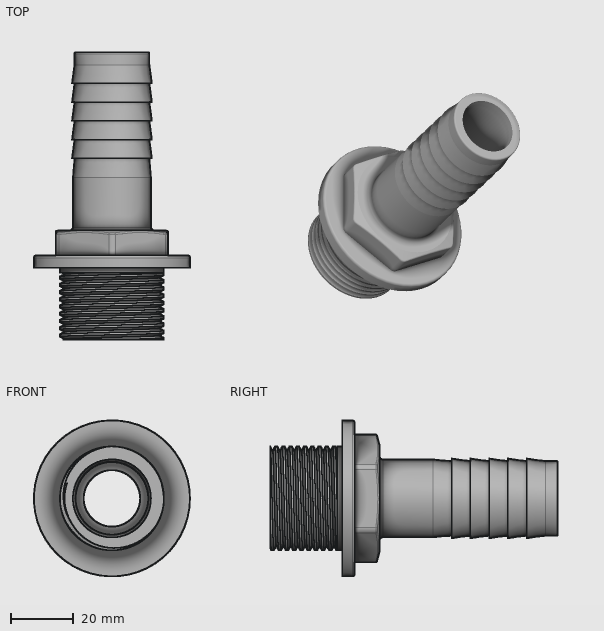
import cadquery as cq
import math

TOTAL_LENGTH = 92.0

THREAD_OUTER_DIAMETER = 33.249
THREAD_PITCH = 2.309
THREAD_DEPTH = 1.479
THREAD_ANGLE = 55.0
THREAD_LENGTH = 21.4
FIRST_ROOT_Y = 0.2
COLLAR_DIAMETER = 33.3

FLANGE_DIAMETER = 50.0
FLANGE_BOTTOM = 23.0
FLANGE_THICKNESS = 4.0
FLANGE_FILLET = 0.8

HEX_ACROSS_FLATS = 36.0
HEX_HEIGHT = 8.0
HEX_CORNER_RADIUS = 2.0
HEX_BEVEL_START_RADIUS = 17.0
HEX_BEVEL_ANGLE = 15.0
HEX_EDGE_FILLET = 0.5

STEM_DIAMETER = 25.0
STEM_ROOT_FILLET = 1.0
STEM_END = 52.0
BARB_COUNT = 5
BARB_PITCH = 6.0
BARB_DIAMETER = 25.6
TIP_DIAMETER = 24.0
TIP_FILLET = 0.5

HOSE_BORE_DIAMETER = 18.0
ENTRY_BORE_DIAMETER = 25.0
ENTRY_BORE_END_DIAMETER = 23.2
ENTRY_BORE_DEPTH = 30.0

FLANGE_TOP = FLANGE_BOTTOM + FLANGE_THICKNESS
HEX_TOP = FLANGE_TOP + HEX_HEIGHT
LAST_BARB_END = STEM_END + (BARB_COUNT + 1) * BARB_PITCH
JOINT_OVERLAP = 1.0


def disc(diameter, bottom, top):
    """Round cylinder on the Y axis between two heights."""
    profile = cq.Workplane("XY").center(0, bottom).rect(diameter / 2, top - bottom, centered=False)
    return profile.revolve(360, (0, 0), (0, 1))


def make_thread():
    """Round bar with a sharp V groove winding around it."""
    outer_radius = THREAD_OUTER_DIAMETER / 2
    slope = math.tan(math.radians(THREAD_ANGLE / 2))
    clearance = 0.3
    cutter_radius = outer_radius + clearance
    half_width = (THREAD_DEPTH + clearance) * slope

    start = FIRST_ROOT_Y - THREAD_PITCH
    length = THREAD_LENGTH + JOINT_OVERLAP - start
    helix = cq.Wire.makeHelix(THREAD_PITCH, length, outer_radius)
    groove = (
        cq.Workplane("XZ")
        .moveTo(outer_radius - THREAD_DEPTH, 0)
        .lineTo(cutter_radius, half_width)
        .lineTo(cutter_radius, -half_width)
        .close()
        .sweep(cq.Workplane(obj=helix), isFrenet=True)
    )
    groove = groove.rotate((0, 0, 0), (0, 0, 1), 180)
    groove = groove.rotate((0, 0, 0), (1, 0, 0), -90)
    groove = groove.translate((0, start, 0))

    return disc(THREAD_OUTER_DIAMETER, 0, THREAD_LENGTH + JOINT_OVERLAP).cut(groove)


def make_flange():
    """Flange with its hexagon-side rim rounded."""
    return disc(FLANGE_DIAMETER, FLANGE_BOTTOM, FLANGE_TOP).faces(">Y").edges().fillet(FLANGE_FILLET)


def make_hexagon():
    """Hexagon with rounded corners, its top bevelled by a shallow cone and softened."""
    across_corners = HEX_ACROSS_FLATS / math.cos(math.pi / 6)
    base = FLANGE_TOP - JOINT_OVERLAP
    hexagon = (
        cq.Workplane("XZ", origin=(0, base, 0))
        .transformed(rotate=(0, 0, 90))
        .polygon(6, across_corners)
        .extrude(base - HEX_TOP)
        .edges("|Y")
        .fillet(HEX_CORNER_RADIUS)
    )
    cone_radius = across_corners / 2
    bevel_drop = (cone_radius - HEX_BEVEL_START_RADIUS) * math.tan(math.radians(HEX_BEVEL_ANGLE))
    envelope = (
        cq.Workplane("XY")
        .moveTo(0, base)
        .lineTo(cone_radius, base)
        .lineTo(cone_radius, HEX_TOP - bevel_drop)
        .lineTo(HEX_BEVEL_START_RADIUS, HEX_TOP)
        .lineTo(0, HEX_TOP)
        .close()
        .revolve(360, (0, 0), (0, 1))
    )
    hexagon = hexagon.intersect(envelope)
    bevel_rim = hexagon.faces("%CONE").edges("not %CIRCLE")
    return bevel_rim.fillet(HEX_EDGE_FILLET)


def make_hose_tail():
    """Plain stem with a flared root, then a row of barbs and a plain tip."""
    stem_radius = STEM_DIAMETER / 2
    tip_radius = TIP_DIAMETER / 2
    profile = (
        cq.Workplane("XY")
        .moveTo(0, HEX_TOP - JOINT_OVERLAP)
        .lineTo(stem_radius + STEM_ROOT_FILLET, HEX_TOP - JOINT_OVERLAP)
        .lineTo(stem_radius + STEM_ROOT_FILLET, HEX_TOP)
        .radiusArc((stem_radius, HEX_TOP + STEM_ROOT_FILLET), STEM_ROOT_FILLET)
        .lineTo(stem_radius, STEM_END)
    )
    for barb in range(1, BARB_COUNT + 1):
        shoulder = STEM_END + barb * BARB_PITCH
        profile = profile.lineTo(tip_radius, shoulder).lineTo(BARB_DIAMETER / 2, shoulder)
    profile = (
        profile.lineTo(tip_radius, LAST_BARB_END)
        .lineTo(tip_radius, TOTAL_LENGTH)
        .lineTo(0, TOTAL_LENGTH)
        .close()
    )
    tail = profile.revolve(360, (0, 0), (0, 1))
    return tail.faces(">Y").edges().fillet(TIP_FILLET)


def make_bore():
    """Through bore with a wider, slightly tapered entry at the threaded end."""
    entry = (
        cq.Workplane("XY")
        .lineTo(ENTRY_BORE_DIAMETER / 2, 0)
        .lineTo(ENTRY_BORE_END_DIAMETER / 2, ENTRY_BORE_DEPTH)
        .lineTo(0, ENTRY_BORE_DEPTH)
        .close()
        .revolve(360, (0, 0), (0, 1))
    )
    return disc(HOSE_BORE_DIAMETER, 0, TOTAL_LENGTH).union(entry)


collar = disc(COLLAR_DIAMETER, THREAD_LENGTH, FLANGE_BOTTOM + JOINT_OVERLAP)

result = (
    make_thread()
    .union(collar)
    .union(make_flange())
    .union(make_hexagon())
    .union(make_hose_tail())
    .cut(make_bore())
)